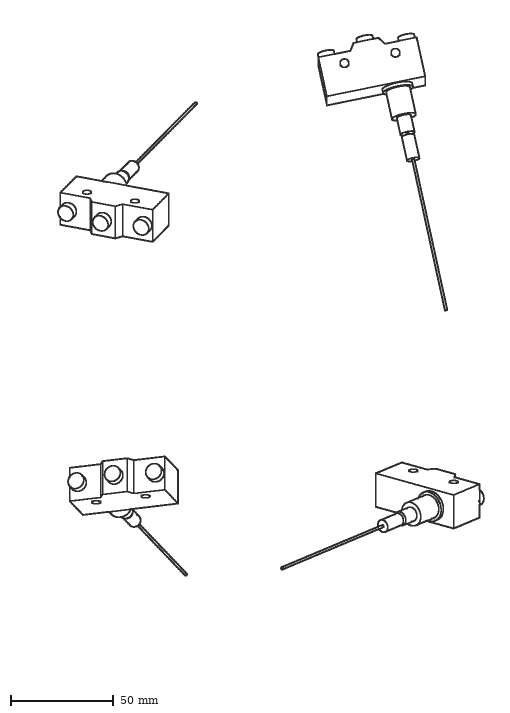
import cadquery as cq

housing_length = 49.2
housing_height = 17.5
nose_y = 3.9
front_y = 7.5
back_y = 27.7
nose_tip_half_width = 6.3
nose_base_half_width = 8.6

hole_diameter = 4.3
hole_offset = 12.8
hole_y = 13.0

button_diameter = 8.2
button_length = nose_y
button_offset = 20.0

neck_x = -10.6
flange_diameter = 15.0
flange_end_y = 29.4
barrel_diameter = 12.0
barrel_end_y = 43.3
stem_diameter = 7.2
stem_end_y = 51.9

sleeve_diameter = 6.3
sleeve_start_y = 53.2
sleeve_end_y = 65.3
rod_diameter = 1.3
rod_end_y = 143.3


def rod_along_y(diameter, x, start_y, end_y):
    """Round rod parallel to Y, centred on Z = 0."""
    axis_start = cq.Vector(x, start_y, 0)
    return cq.Workplane(cq.Solid.makeCylinder(diameter / 2, end_y - start_y, axis_start, cq.Vector(0, 1, 0)))


def make_block():
    """Housing block with a tapered nose and two through holes."""
    half_length = housing_length / 2
    block = (
        cq.Workplane("XY")
        .polyline([
            (-half_length, back_y),
            (-half_length, front_y),
            (-nose_base_half_width, front_y),
            (-nose_tip_half_width, nose_y),
            (nose_tip_half_width, nose_y),
            (nose_base_half_width, front_y),
            (half_length, front_y),
            (half_length, back_y),
        ])
        .close()
        .extrude(housing_height / 2, both=True)
    )
    holes = (
        cq.Workplane("XY")
        .pushPoints([(-hole_offset, hole_y), (hole_offset, hole_y)])
        .circle(hole_diameter / 2)
        .extrude(housing_height, both=True)
    )
    return block.cut(holes)


def make_switch():
    """Block, buttons and stepped neck as one solid."""
    switch = make_block()
    button_roots = [(-button_offset, front_y), (0, nose_y), (button_offset, front_y)]
    for x, root_y in button_roots:
        switch = switch.union(rod_along_y(button_diameter, x, root_y - button_length, root_y))

    neck_steps = [
        (flange_diameter, back_y, flange_end_y),
        (barrel_diameter, flange_end_y, barrel_end_y),
        (stem_diameter, barrel_end_y, stem_end_y),
    ]
    for diameter, start_y, end_y in neck_steps:
        switch = switch.union(rod_along_y(diameter, neck_x, start_y, end_y))
    return switch


def make_whisker():
    """Rod that butts against the stem, with its sleeve."""
    rod = rod_along_y(rod_diameter, neck_x, stem_end_y, rod_end_y)
    sleeve = rod_along_y(sleeve_diameter, neck_x, sleeve_start_y, sleeve_end_y)
    return rod.union(sleeve)


switch = make_switch()
whisker = make_whisker()
result = cq.Compound.makeCompound([switch.val(), whisker.val()])